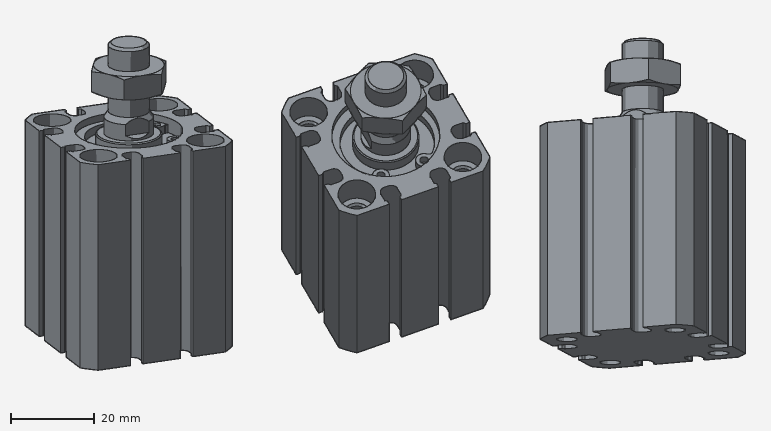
import cadquery as cq
import math

HOUSING_SIDE = 40.0
HOUSING_HEIGHT = 52.5
CORNER_DIAMETER = 52.05
TOTAL_HEIGHT = 75.0

SLOT_OFFSET = 6.5
SLOT_WIDTH = 4.35
SLOT_FILLET = 1.65
SLOT_MOUTH_WIDTH = 3.2
SLOT_DEPTH = 5.25
SLOT_LIP_DEPTH = 1.0

MOUNT_OFFSET = 14.0
MOUNT_BORE_DIAMETER = 9.0
MOUNT_BORE_DEPTH = 7.0
MOUNT_HOLE_DIAMETER = 4.95
MOUNT_SINK_DIAMETER = 6.0

RECESS_DIAMETER = 26.0
RECESS_DEPTH = 3.75
COLLAR_DIAMETER = 16.0
COLLAR_TOP_DEPTH = 0.6
COLLAR_CHAMFER = 0.3

RING_TOP_DEPTH = 1.7
RING_INNER_DIAMETER = 22.8
RING_INNER_SHIFT = 0.8
LUG_X = 5.7
LUG_Y = 9.75
LUG_DIAMETER = 4.05
LUG_FILLET = 1.0
LUG_HOLE_DIAMETER = 2.0

ROD_DIAMETER = 12.0
THREAD_DIAMETER = 10.0
ROD_TIP_DIAMETER = 8.6
ROD_FLATS_WIDTH = 10.35
ROD_FLATS_BASE = HOUSING_HEIGHT + 0.7
ROD_SHOULDER_TOP = 57.5
ROD_SHOULDER_BASE = 56.0
ROD_BOTTOM = HOUSING_HEIGHT / 2

NUT_WIDTH = 17.0
NUT_HEIGHT = 6.0
NUT_BASE = 63.2
NUT_CHAMFER_ANGLE = math.radians(20)

half_side = HOUSING_SIDE / 2


def disc(diameter, bottom, top, x=0, y=0):
    """Upright cylinder between two heights."""
    return cq.Workplane("XY", origin=(x, y, bottom)).circle(diameter / 2).extrude(top - bottom)


def slot_cutter():
    """One slot in the +Y face, running the full height of the housing."""
    half_width = SLOT_WIDTH / 2
    half_mouth = SLOT_MOUTH_WIDTH / 2
    lip_y = half_side - SLOT_LIP_DEPTH
    floor_y = half_side - SLOT_DEPTH
    step = half_width - half_mouth
    outline = [
        (-half_mouth, half_side),
        (-half_mouth, lip_y),
        (-half_width, lip_y - step),
        (-half_width, floor_y),
        (half_width, floor_y),
        (half_width, lip_y - step),
        (half_mouth, lip_y),
        (half_mouth, half_side),
    ]
    slot = cq.Workplane("XY").polyline(outline).close().extrude(HOUSING_HEIGHT)
    return slot.edges("|Z and <Y").fillet(SLOT_FILLET)


def mount_hole_cutter():
    """Through hole with a counterbore and a countersunk rim on the counterbore floor."""
    hole = MOUNT_HOLE_DIAMETER / 2
    sink = MOUNT_SINK_DIAMETER / 2
    bore = MOUNT_BORE_DIAMETER / 2
    floor_z = HOUSING_HEIGHT - MOUNT_BORE_DEPTH
    outline = [
        (0, 0),
        (hole, 0),
        (hole, floor_z - (sink - hole)),
        (sink, floor_z),
        (bore, floor_z),
        (bore, HOUSING_HEIGHT),
        (0, HOUSING_HEIGHT),
    ]
    return cq.Workplane("XZ").polyline(outline).close().revolve(360, (0, 0), (0, 1))


def make_collar():
    """Chamfered collar around the rod."""
    collar = disc(COLLAR_DIAMETER, HOUSING_HEIGHT - RECESS_DEPTH, HOUSING_HEIGHT - COLLAR_TOP_DEPTH)
    return collar.faces(">Z").chamfer(COLLAR_CHAMFER)


def ring_gap_cutter(bottom, top):
    """Wedge between the lugs, its sides on radial lines tangent to the lugs."""
    lug_distance = math.hypot(LUG_X, LUG_Y)
    half_angle = math.atan2(LUG_X, LUG_Y) - math.asin(LUG_DIAMETER / 2 / lug_distance)
    reach = RECESS_DIAMETER
    gap_x = reach * math.tan(half_angle)
    wedge = cq.Workplane("XY", origin=(0, 0, bottom)).polyline([(0, 0), (gap_x, reach), (-gap_x, reach)])
    return wedge.close().extrude(top - bottom)


def lug_root():
    """X and Y of the point where the +X lug circle meets the ring's inner circle."""
    inner = RING_INNER_DIAMETER / 2
    lug_y = LUG_Y - RING_INNER_SHIFT
    distance = math.hypot(LUG_X, lug_y)
    cosine = (inner**2 + distance**2 - (LUG_DIAMETER / 2) ** 2) / (2 * inner * distance)
    angle = math.atan2(LUG_X, lug_y) + math.acos(cosine)
    return inner * math.sin(angle), RING_INNER_SHIFT + inner * math.cos(angle)


def make_ring():
    """Retaining ring, from the recess floor up to its flat top."""
    bottom = HOUSING_HEIGHT - RECESS_DEPTH
    top = HOUSING_HEIGHT - RING_TOP_DEPTH
    bore = disc(RECESS_DIAMETER, bottom, top)
    ring = bore.cut(disc(RING_INNER_DIAMETER, bottom, top, y=RING_INNER_SHIFT))
    ring = ring.cut(ring_gap_cutter(bottom, top))
    for side in (-1, 1):
        ring = ring.union(disc(LUG_DIAMETER, bottom, top, side * LUG_X, LUG_Y).intersect(bore))

    root_x, root_y = lug_root()
    for side in (-1, 1):
        root = cq.selectors.NearestToPointSelector((side * root_x, root_y, (bottom + top) / 2))
        ring = ring.edges("|Z").edges(root).fillet(LUG_FILLET)
    for side in (-1, 1):
        ring = ring.cut(disc(LUG_HOLE_DIAMETER, bottom, top, side * LUG_X, LUG_Y))
    return ring


def make_housing():
    """Slotted housing carrying the collar and the retaining ring."""
    housing = cq.Workplane("XY").rect(HOUSING_SIDE, HOUSING_SIDE).extrude(HOUSING_HEIGHT)
    housing = housing.intersect(disc(CORNER_DIAMETER, 0, HOUSING_HEIGHT))
    for x in (-SLOT_OFFSET, SLOT_OFFSET):
        slot = slot_cutter().translate((x, 0, 0))
        for turn in range(4):
            housing = housing.cut(slot.rotate((0, 0, 0), (0, 0, 1), 90 * turn))
    for x in (-MOUNT_OFFSET, MOUNT_OFFSET):
        for y in (-MOUNT_OFFSET, MOUNT_OFFSET):
            housing = housing.cut(mount_hole_cutter().translate((x, y, 0)))
    housing = housing.cut(disc(RECESS_DIAMETER, HOUSING_HEIGHT - RECESS_DEPTH, HOUSING_HEIGHT))
    housing = housing.union(make_collar()).union(make_ring())
    return housing.cut(disc(ROD_DIAMETER, ROD_BOTTOM, HOUSING_HEIGHT))


def make_rod():
    """Turned rod with a threaded end and two wrench flats facing -X and +X."""
    rod_radius = ROD_DIAMETER / 2
    thread_radius = THREAD_DIAMETER / 2
    tip_radius = ROD_TIP_DIAMETER / 2
    outline = [
        (0, ROD_BOTTOM),
        (rod_radius, ROD_BOTTOM),
        (rod_radius, ROD_SHOULDER_BASE),
        (thread_radius, ROD_SHOULDER_TOP),
        (thread_radius, TOTAL_HEIGHT - (thread_radius - tip_radius)),
        (tip_radius, TOTAL_HEIGHT),
        (0, TOTAL_HEIGHT),
    ]
    rod = cq.Workplane("XZ").polyline(outline).close().revolve(360, (0, 0), (0, 1))

    flat_x = ROD_FLATS_WIDTH / 2
    flat_outline = [
        (flat_x, ROD_SHOULDER_TOP),
        (flat_x, ROD_FLATS_BASE),
        (rod_radius, ROD_FLATS_BASE - (rod_radius - flat_x)),
        (rod_radius, ROD_SHOULDER_TOP),
    ]
    flat = cq.Workplane("XZ").polyline(flat_outline).close().extrude(rod_radius, both=True)
    return rod.cut(flat).cut(flat.mirror("YZ"))


def make_nut():
    """Hexagonal nut with its corners chamfered at both ends and flats facing -X and +X."""
    corner_radius = NUT_WIDTH / math.sqrt(3)
    face_radius = NUT_WIDTH / 2
    drop = (corner_radius - face_radius) * math.tan(NUT_CHAMFER_ANGLE)
    hexagon = (
        cq.Workplane("XY", origin=(0, 0, NUT_BASE))
        .transformed(rotate=(0, 0, 90))
        .polygon(6, 2 * corner_radius)
        .extrude(NUT_HEIGHT)
    )
    nut_top = NUT_BASE + NUT_HEIGHT
    outline = [
        (0, NUT_BASE),
        (face_radius, NUT_BASE),
        (corner_radius, NUT_BASE + drop),
        (corner_radius, nut_top - drop),
        (face_radius, nut_top),
        (0, nut_top),
    ]
    envelope = cq.Workplane("XZ").polyline(outline).close().revolve(360, (0, 0), (0, 1))
    return hexagon.intersect(envelope).cut(disc(THREAD_DIAMETER, NUT_BASE, nut_top))


housing = make_housing()
rod = make_rod()
nut = make_nut()

result = cq.Compound.makeCompound([housing.val(), rod.val(), nut.val()])